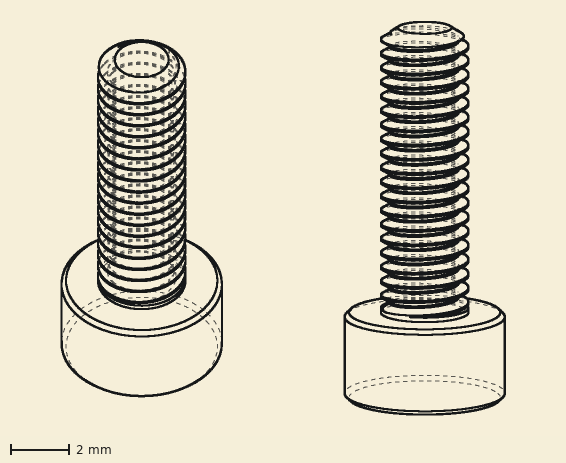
import cadquery as cq
import math

total_length = 13.0
head_share = 3 / 13
head_height = total_length * head_share
shaft_length = total_length - head_height
head_diameter = 5.5
head_chamfer = 0.15

major_radius = head_height / 2
collar_height = 0.15
collar_top = head_height + collar_height
tip_radius = 0.92
tip_angle = 34
tip_height = (major_radius - tip_radius) * math.tan(math.radians(tip_angle))

thread_turns = 20
thread_pitch = shaft_length / thread_turns
flat_width = thread_pitch / 8
flank_slope = math.tan(math.radians(30))
thread_depth = (thread_pitch / 2 - flat_width) / flank_slope
root_radius = major_radius - thread_depth
groove_overcut = 0.04
first_groove = 0.22 * thread_pitch


def make_head():
    """Cylindrical head with both rims chamfered, topped by the collar."""
    head = cq.Workplane("XY").circle(head_diameter / 2).extrude(head_height)
    head = head.faces("<Z or >Z").edges().chamfer(head_chamfer)
    collar = cq.Workplane("XY", origin=(0, 0, head_height)).circle(major_radius).extrude(collar_height)
    return head.union(collar)


def make_shaft_blank():
    """Plain shaft above the collar, with its conical tip."""
    outline = [
        (0, collar_top),
        (major_radius, collar_top),
        (major_radius, total_length - tip_height),
        (tip_radius, total_length),
        (0, total_length),
    ]
    return cq.Workplane("XZ").polyline(outline).close().revolve(360, (0, 0, 0), (0, 1, 0))


def make_groove_turn(start_height):
    """Cutter for one right-hand turn of the thread groove, starting on the +X side."""
    mouth_radius = major_radius + groove_overcut
    root_half = flat_width / 2
    mouth_half = root_half + (mouth_radius - root_radius) * flank_slope
    corners = [
        (root_radius, -root_half),
        (mouth_radius, -mouth_half),
        (mouth_radius, mouth_half),
        (root_radius, root_half),
    ]
    helices = [
        cq.Wire.makeHelix(thread_pitch, thread_pitch, radius, cq.Vector(0, 0, start_height + offset))
        for radius, offset in corners
    ]
    faces = []
    for index, helix in enumerate(helices):
        faces.append(cq.Face.makeRuledSurface(helices[index - 1], helix))
    for end in (0, 1):
        outline = cq.Wire.makePolygon([helix.positionAt(end) for helix in helices], close=True)
        faces.append(cq.Face.makeFromWires(outline))
    return cq.Solid.makeSolid(cq.Shell.makeShell(faces))


shaft = make_shaft_blank()
for turn in range(-1, thread_turns):
    start_height = head_height + first_groove + turn * thread_pitch
    shaft = shaft.cut(cq.Workplane(make_groove_turn(start_height)))

result = make_head().union(shaft)